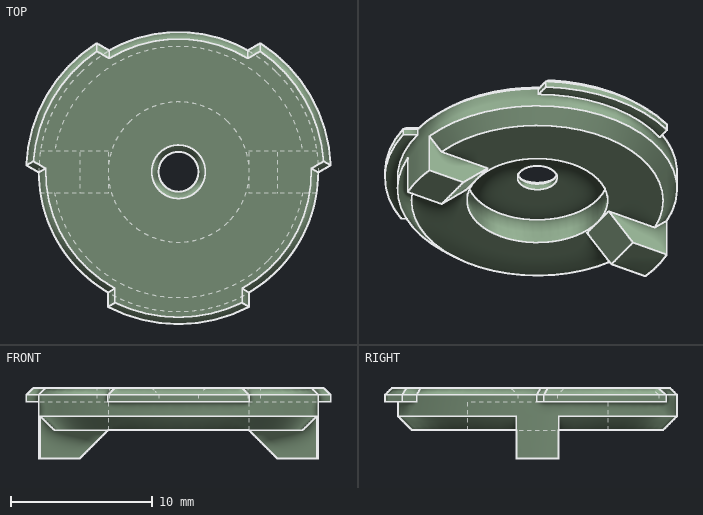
import cadquery as cq

body_diameter = 19.8
body_thickness = 3.0
body_bottom_chamfer = 1.0

lug_diameter = 21.6
lug_width = 10.0
lug_thickness = 1.0
lug_angles = (30, 150, 270)

top_chamfer = 0.5
hole_diameter = 2.8
floor_thickness = 1.0

total_height = 5.0
leg_width = 3.0
leg_inner_reach = 4.98
pocket_radius = leg_inner_reach

body_radius = body_diameter / 2
lug_radius = lug_diameter / 2


def cylinder(radius, height):
    """Cylinder hanging down from the top face."""
    return cq.Workplane("XY").circle(radius).extrude(-height)


def make_body():
    """Round plate with chamfered upper and lower rims."""
    plain = cylinder(body_radius, body_thickness)
    return plain.faces(">Z").chamfer(top_chamfer).faces("<Z").chamfer(body_bottom_chamfer)


def make_lug(angle):
    """Parallel-sided lug, chamfered on top, with a round outer end, pointing along the given angle."""
    bar = (
        cq.Workplane("XY")
        .rect(lug_diameter, lug_width)
        .extrude(-lug_thickness)
        .translate((lug_radius, 0, 0))
        .edges("|X and >Z")
        .chamfer(top_chamfer)
    )
    round_end = cylinder(lug_radius, lug_thickness).faces(">Z").chamfer(top_chamfer)
    lug = bar.intersect(round_end)
    return lug.rotate((0, 0, 0), (0, 0, 1), angle)


def make_legs():
    """Two opposite legs below the plate, with 45 degree inner faces and round outer faces."""
    leg_drop = total_height - body_thickness
    leg_top = -(body_thickness - body_bottom_chamfer)
    leg = (
        cq.Workplane("XZ")
        .moveTo(leg_inner_reach, leg_top)
        .lineTo(leg_inner_reach, -body_thickness)
        .lineTo(leg_inner_reach + leg_drop, -total_height)
        .lineTo(body_radius, -total_height)
        .lineTo(body_radius, leg_top)
        .close()
        .extrude(leg_width / 2, both=True)
    )
    return leg.union(leg.mirror("YZ")).intersect(cylinder(body_radius, total_height))


plate = make_body()
for lug_angle in lug_angles:
    plate = plate.union(make_lug(lug_angle))

plate = plate.cut(cylinder(hole_diameter / 2, body_thickness))
hole_rim = cq.Solid.makeCone(
    hole_diameter / 2,
    hole_diameter / 2 + top_chamfer,
    top_chamfer,
    pnt=cq.Vector(0, 0, -top_chamfer),
)
plate = plate.cut(cq.Workplane(hole_rim))

pocket = cylinder(pocket_radius, body_thickness).translate((0, 0, -floor_thickness))
plate = plate.cut(pocket)

result = plate.union(make_legs())